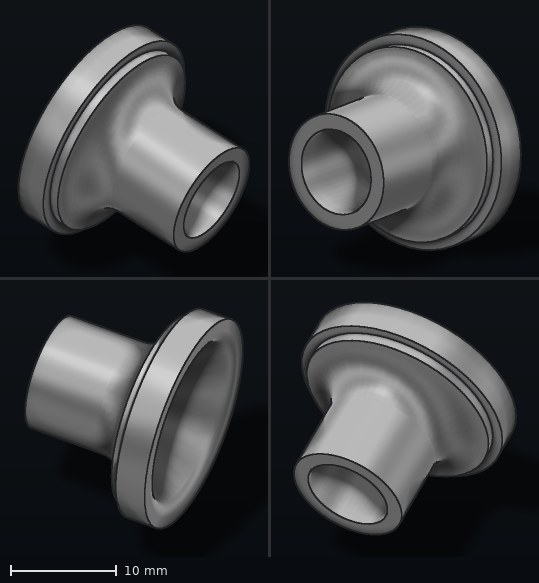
import cadquery as cq
import math

total_length = 15.0
flange_thickness = 3.05
step_end = 4.0

flange_radius = 21 / 2
step_radius = 19.0 / 2
tube_radius = 11.3 / 2
bore_radius = 8.3 / 2
mouth_radius = 18.52 / 2

neck_fillet = 3.5
mouth_round = 1.5
throat_round = 6.0
throat_end = 8.0

SIN_45 = math.sin(math.pi / 4)


def on_arc(center, radius, angle):
    """Point on an inward-facing bore round; angle 0 faces the axis, 90 degrees faces the flange."""
    return (center[0] - radius * math.sin(angle), center[1] - radius * math.cos(angle))


def outer_blank():
    """Flange, step and tube, with a concave fillet sweeping from the step to the tube."""
    neck_end = step_end + neck_fillet
    neck_mid = (neck_end - neck_fillet * SIN_45, tube_radius + neck_fillet * (1 - SIN_45))
    profile = (
        cq.Workplane("XY")
        .lineTo(0, flange_radius)
        .lineTo(flange_thickness, flange_radius)
        .lineTo(flange_thickness, step_radius)
        .lineTo(step_end, step_radius)
        .lineTo(step_end, tube_radius + neck_fillet)
        .threePointArc(neck_mid, (neck_end, tube_radius))
        .lineTo(total_length, tube_radius)
        .lineTo(total_length, 0)
        .close()
    )
    return profile.revolve(360, (0, 0, 0), (1, 0, 0))


def funnel_bore():
    """Rounded mouth, cone and rounded throat leading into a straight through bore."""
    mouth_center = (mouth_round, mouth_radius)
    throat_center = (throat_end, bore_radius + throat_round)

    run = throat_center[0] - mouth_center[0]
    rise = throat_center[1] - mouth_center[1]
    spacing = math.hypot(run, rise)
    cone_angle = math.asin((throat_round - mouth_round) / spacing) - math.atan2(rise, run)

    mouth_mid_angle = (math.pi / 2 + cone_angle) / 2
    profile = (
        cq.Workplane("XY")
        .lineTo(0, mouth_radius)
        .threePointArc(
            on_arc(mouth_center, mouth_round, mouth_mid_angle),
            on_arc(mouth_center, mouth_round, cone_angle),
        )
        .lineTo(*on_arc(throat_center, throat_round, cone_angle))
        .threePointArc(
            on_arc(throat_center, throat_round, cone_angle / 2),
            on_arc(throat_center, throat_round, 0),
        )
        .lineTo(total_length, bore_radius)
        .lineTo(total_length, 0)
        .close()
    )
    return profile.revolve(360, (0, 0, 0), (1, 0, 0))


result = outer_blank().cut(funnel_bore())